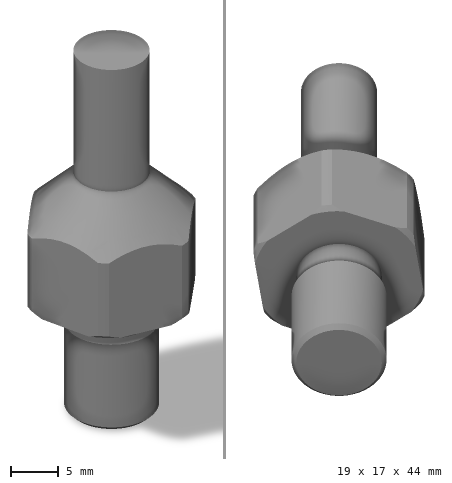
import cadquery as cq
import math

shank_diameter = 10.0
shank_end_chamfer = 0.5

neck_diameter = 9.0
neck_length = 2.8

hex_across_flats = 17.0
hex_turned_diameter = 19.0
hex_base_z = 14.0
hex_base_chamfer = 0.5

stem_diameter = 8.0
stem_length = 15.0
total_length = 44.0
cone_half_angle = 45.0

shank_radius = shank_diameter / 2
neck_radius = neck_diameter / 2
head_radius = hex_turned_diameter / 2
stem_radius = stem_diameter / 2

shoulder_top_z = hex_base_z - neck_length
shoulder_height = shank_radius - neck_radius
cone_top_z = total_length - stem_length
cone_height = (head_radius - stem_radius) / math.tan(math.radians(cone_half_angle))


def turned_body():
    """Revolve the half profile of the whole part around the Z axis."""
    profile = [
        (0, 0),
        (shank_radius - shank_end_chamfer, 0),
        (shank_radius, shank_end_chamfer),
        (shank_radius, shoulder_top_z - shoulder_height),
        (neck_radius, shoulder_top_z),
        (neck_radius, hex_base_z),
        (head_radius - hex_base_chamfer, hex_base_z),
        (head_radius, hex_base_z + hex_base_chamfer),
        (head_radius, cone_top_z - cone_height),
        (stem_radius, cone_top_z),
        (stem_radius, total_length),
        (0, total_length),
    ]
    return cq.Workplane("XZ").polyline(profile).close().revolve(360, (0, 0), (0, 1))


def hexagonal_bar():
    """Full-height hexagonal bar with two of its corners on the X axis."""
    across_corners = hex_across_flats / math.cos(math.radians(30))
    return cq.Workplane("XY").polygon(6, across_corners).extrude(total_length)


result = turned_body().intersect(hexagonal_bar())